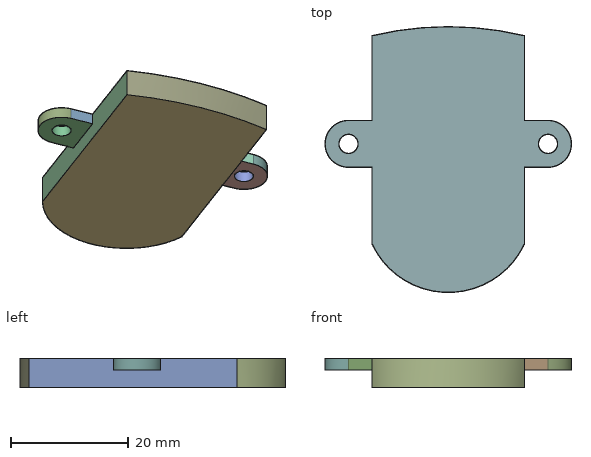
import cadquery as cq

body_width = 26.0
body_thickness = 5.0
total_length = 45.3
top_end_y = 20.0
bottom_end_y = top_end_y - total_length
top_arch_rise = 1.55
bottom_arch_rise = 8.3

overall_width = 42.0
ear_width = 8.0
ear_thickness = 2.0
ear_hole_diameter = 3.2
ear_radius = ear_width / 2
ear_center_x = overall_width / 2 - ear_radius


def make_body():
    half_width = body_width / 2
    top_corner_y = top_end_y - top_arch_rise
    bottom_corner_y = bottom_end_y + bottom_arch_rise
    return (
        cq.Workplane("XY")
        .moveTo(-half_width, bottom_corner_y)
        .threePointArc((0, bottom_end_y), (half_width, bottom_corner_y))
        .lineTo(half_width, top_corner_y)
        .threePointArc((0, top_end_y), (-half_width, top_corner_y))
        .close()
        .extrude(body_thickness)
    )


def make_ears():
    """One rounded bar across the body forms both ears."""
    return (
        cq.Workplane("XY", origin=(0, 0, body_thickness - ear_thickness))
        .slot2D(overall_width, ear_width)
        .extrude(ear_thickness)
    )


def make_ear_holes():
    return (
        cq.Workplane("XY")
        .pushPoints([(-ear_center_x, 0), (ear_center_x, 0)])
        .circle(ear_hole_diameter / 2)
        .extrude(body_thickness)
    )


result = make_body().union(make_ears()).cut(make_ear_holes())